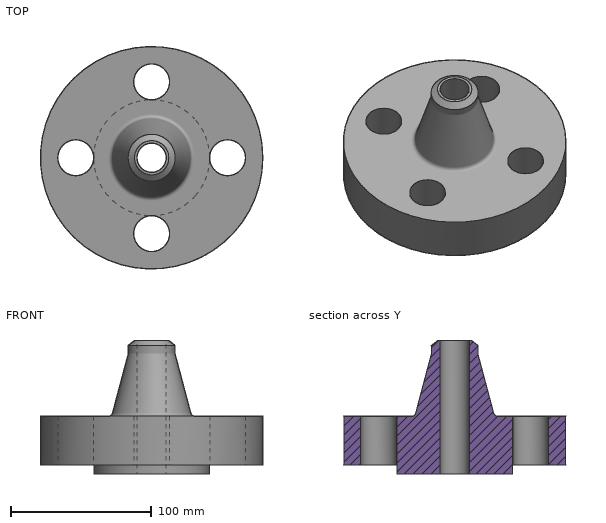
import cadquery as cq
import math

flange_diameter = 158.7
flange_thickness = 34.9
raised_face_diameter = 82.7
raised_face_height = 6.3

total_height = 95.2
hub_base_diameter = 57.1
neck_diameter = 33.5
neck_end_length = 9.5
hub_fillet_radius = 3.0
bore_diameter = 20.6
root_face_width = 1.9
bevel_angle = 37.5

bolt_hole_diameter = 25.4
bolt_circle_diameter = 108.2
bolt_count = 4

flange_top = raised_face_height + flange_thickness
cone_top = total_height - neck_end_length
bevel_end_diameter = bore_diameter + 2 * root_face_width
bevel_width = (neck_diameter - bevel_end_diameter) / 2
bevel_height = bevel_width * math.tan(math.radians(bevel_angle))


def make_flange():
    """Round plate standing on its raised face, bottom at Z = 0."""
    raised_face = cq.Workplane("XY").circle(raised_face_diameter / 2).extrude(raised_face_height)
    plate = (
        cq.Workplane("XY", origin=(0, 0, raised_face_height))
        .circle(flange_diameter / 2)
        .extrude(flange_thickness)
    )
    return raised_face.union(plate)


def make_neck():
    """Conical hub with a straight, bevelled welding end, revolved about Z."""
    profile = [
        (0, flange_top),
        (hub_base_diameter / 2, flange_top),
        (neck_diameter / 2, cone_top),
        (neck_diameter / 2, total_height - bevel_height),
        (bevel_end_diameter / 2, total_height),
        (0, total_height),
    ]
    return cq.Workplane("XZ").polyline(profile).close().revolve(360, (0, 0), (0, 1))


def fillet_hub_root(body):
    """Round the inside corner where the hub meets the plate."""
    reach = hub_base_diameter / 2 + hub_fillet_radius
    tolerance = 0.2
    root_edge = cq.selectors.BoxSelector(
        (-reach, -reach, flange_top - tolerance),
        (reach, reach, flange_top + tolerance),
        boundingbox=True,
    )
    return body.edges(root_edge).fillet(hub_fillet_radius)


def drill_holes(body):
    """Cut the central bore and the ring of bolt holes right through."""
    bore = cq.Workplane("XY").circle(bore_diameter / 2).extrude(total_height)
    bolt_holes = (
        cq.Workplane("XY")
        .polarArray(bolt_circle_diameter / 2, 0, 360, bolt_count)
        .circle(bolt_hole_diameter / 2)
        .extrude(flange_top)
    )
    return body.cut(bore).cut(bolt_holes)


result = drill_holes(fillet_hub_root(make_flange().union(make_neck())))